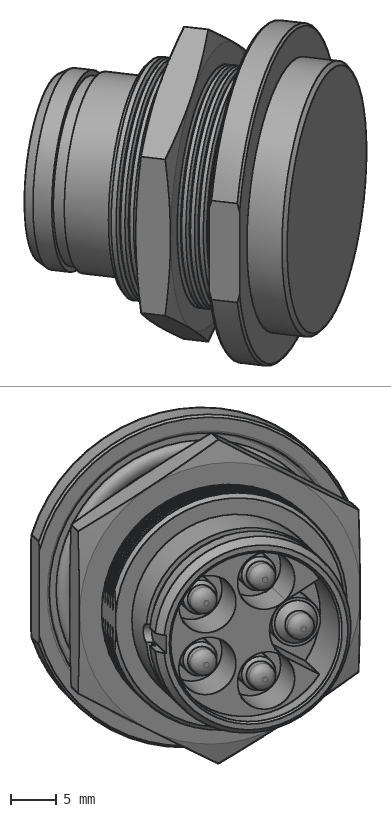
import cadquery as cq
import math


NOSE_GROOVE_START = 3.37
NOSE_GROOVE_END = 4.8
THREAD_START = 10.45
NUT_START = 14.5
NUT_END = 18.48
FLANGE_START = 23.55
FLANGE_END = 27.05
TOTAL_LENGTH = 31.5

NOSE_RADIUS = 11.17
NOSE_CHAMFER_LENGTH = 1.2
NOSE_CHAMFER_DEPTH = 0.7
NOSE_GROOVE_RADIUS = 10.55
KEY_SLOT_WIDTH = 2.05
KEY_SLOT_FLOOR = 10.22
SOCKET_RADIUS = 9.62
SOCKET_DEPTH = 2.4
SOCKET_CHAMFER = 0.23

THREAD_RADIUS = 13.5
THREAD_DEPTH = 0.45
THREAD_CHAMFER = 0.45
THREAD_FLAT = 13.0
THREAD_FIRST_GROOVE = 11.75
THREAD_LAST_GROOVE = 21.75
THREAD_PITCH_COUNT = 10
THREAD_PITCH = (THREAD_LAST_GROOVE - THREAD_FIRST_GROOVE) / THREAD_PITCH_COUNT
THREAD_HALF_ANGLE = 30

FLANGE_RADIUS = 18.95
FLANGE_WIDTH = 36.0
FLANGE_CHAMFER = 0.25
REAR_RADIUS = 15.25
REAR_CHAMFER = 0.45
SEAL_GROOVE_RADIUS = 16.8
SEAL_GROOVE_ROUNDING = 0.35
SEAL_GROOVE_INNER_RADIUS = 13.9
SEAL_GROOVE_FLOOR = 24.9
SEAL_RADIUS = 14.95
SEAL_SECTION_RADIUS = 1.0
SEAL_FRONT = 23.02

CONTACT_COUNT = 5
CONTACT_CIRCLE_RADIUS = 6.0
CONTACT_HOLE_RADIUS = 3.25
CONTACT_HOLE_DEPTH = 5.68
CONTACT_FLOOR = SOCKET_DEPTH + CONTACT_HOLE_DEPTH
CONTACT_RADIUS = 1.95
CONTACT_TIP_RECESS = 0.5
EARTH_SHOULDER_RADIUS = 2.75
EARTH_CONE_RADIUS = 2.42
EARTH_HOLE_RADIUS = 3.75
EARTH_TIP_RECESS = -0.45
EARTH_OPENING_ANGLE = 30
TIP_RADIUS = 1.5
TIP_ROUNDING = 1.2
TIP_LENGTH = 2.1

NUT_WIDTH = 32.0
NUT_CORNER_CHAMFER_LENGTH = 0.6


def disc(radius, start, end):
    """Cylinder on the connector axis between two stations."""
    return cq.Workplane("YZ", origin=(start, 0, 0)).circle(radius).extrude(end - start)


def turned(outline):
    """Solid turned about the X axis from an outline of (station, radius) points."""
    return cq.Workplane("XY").polyline(outline).close().revolve(360, (0, 0, 0), (1, 0, 0))


def shell():
    """Turned outside of the connector, from the nose to the rear collar."""
    return turned([
        (0, 0),
        (0, NOSE_RADIUS - NOSE_CHAMFER_DEPTH),
        (NOSE_CHAMFER_LENGTH, NOSE_RADIUS),
        (NOSE_GROOVE_START, NOSE_RADIUS),
        (NOSE_GROOVE_START, NOSE_GROOVE_RADIUS),
        (NOSE_GROOVE_END, NOSE_GROOVE_RADIUS),
        (NOSE_GROOVE_END, NOSE_RADIUS),
        (FLANGE_START, NOSE_RADIUS),
        (FLANGE_START, FLANGE_RADIUS - FLANGE_CHAMFER),
        (FLANGE_START + FLANGE_CHAMFER, FLANGE_RADIUS),
        (FLANGE_END - FLANGE_CHAMFER, FLANGE_RADIUS),
        (FLANGE_END, FLANGE_RADIUS - FLANGE_CHAMFER),
        (FLANGE_END, REAR_RADIUS),
        (TOTAL_LENGTH - REAR_CHAMFER, REAR_RADIUS),
        (TOTAL_LENGTH, REAR_RADIUS - REAR_CHAMFER),
        (TOTAL_LENGTH, 0),
    ])


def flange_flats():
    """Everything outside the two parallel flats of the flange."""
    flange = disc(FLANGE_RADIUS, FLANGE_START, FLANGE_END)
    middle = cq.Workplane("XY").box(2 * TOTAL_LENGTH, FLANGE_WIDTH, 2 * FLANGE_RADIUS)
    return flange.cut(middle)


def threaded_sleeve():
    """Sleeve around the shell with a chamfered start, V grooves and a flat on its +Y side."""
    half_width = THREAD_DEPTH * math.tan(math.radians(THREAD_HALF_ANGLE))
    root_radius = THREAD_RADIUS - THREAD_DEPTH
    outline = [
        (THREAD_START, 0),
        (THREAD_START, THREAD_RADIUS - THREAD_CHAMFER),
        (THREAD_START + THREAD_CHAMFER, THREAD_RADIUS),
    ]
    for index in range(THREAD_PITCH_COUNT + 1):
        station = THREAD_FIRST_GROOVE + index * THREAD_PITCH
        outline += [
            (station - half_width, THREAD_RADIUS),
            (station, root_radius),
            (station + half_width, THREAD_RADIUS),
        ]
    outline += [(FLANGE_START, THREAD_RADIUS), (FLANGE_START, 0)]
    beyond_flat = (
        cq.Workplane("XZ", origin=(0, THREAD_FLAT, 0))
        .rect(2 * TOTAL_LENGTH, 2 * THREAD_RADIUS)
        .extrude(-THREAD_RADIUS)
    )
    return turned(outline).cut(beyond_flat)


def seal_groove():
    """Annular recess in the flange face; its outer wall has a rounded brim and a rounded corner."""
    brim_end = FLANGE_START + SEAL_GROOVE_ROUNDING
    floor_round_start = SEAL_GROOVE_FLOOR - SEAL_GROOVE_ROUNDING
    diagonal = SEAL_GROOVE_ROUNDING * math.sqrt(0.5)
    wall = SEAL_GROOVE_RADIUS
    brim_middle = (brim_end - diagonal, wall + SEAL_GROOVE_ROUNDING - diagonal)
    corner_middle = (floor_round_start + diagonal, wall - SEAL_GROOVE_ROUNDING + diagonal)
    return (
        cq.Workplane("XY")
        .moveTo(FLANGE_START, SEAL_GROOVE_INNER_RADIUS)
        .lineTo(FLANGE_START, wall + SEAL_GROOVE_ROUNDING)
        .threePointArc(brim_middle, (brim_end, wall))
        .lineTo(floor_round_start, wall)
        .threePointArc(corner_middle, (SEAL_GROOVE_FLOOR, wall - SEAL_GROOVE_ROUNDING))
        .lineTo(SEAL_GROOVE_FLOOR, SEAL_GROOVE_INNER_RADIUS)
        .close()
        .revolve(360, (0, 0, 0), (1, 0, 0))
    )


def seal():
    """Round-section ring sunk slightly into the floor of its recess."""
    return (
        cq.Workplane("XY")
        .center(SEAL_FRONT + SEAL_SECTION_RADIUS, SEAL_RADIUS)
        .circle(SEAL_SECTION_RADIUS)
        .revolve(360, (0, -SEAL_RADIUS, 0), (1, -SEAL_RADIUS, 0))
    )


def key_slot():
    """Axial slot in the +Y side of the nose, with a round end behind the retaining groove."""
    round_end = NOSE_GROOVE_END
    height = NOSE_RADIUS - KEY_SLOT_FLOOR
    base = cq.Workplane("XZ", origin=(0, KEY_SLOT_FLOOR, 0))
    straight = base.center(round_end / 2, 0).rect(round_end, KEY_SLOT_WIDTH).extrude(-height)
    end = base.center(round_end, 0).circle(KEY_SLOT_WIDTH / 2).extrude(-height)
    return straight.union(end)


def socket():
    """Front recess with a chamfered rim."""
    return turned([
        (0, 0),
        (0, SOCKET_RADIUS + SOCKET_CHAMFER),
        (SOCKET_CHAMFER, SOCKET_RADIUS),
        (SOCKET_DEPTH, SOCKET_RADIUS),
        (SOCKET_DEPTH, 0),
    ])


def placed(shape, index):
    """Shape drawn on the axis, moved to the contact circle; index 0 is the earth place at -Y."""
    return shape.translate((0, -CONTACT_CIRCLE_RADIUS, 0)).rotate(
        (0, 0, 0), (1, 0, 0), 360 / CONTACT_COUNT * index
    )


def contact_hole():
    """Round recess around an ordinary contact."""
    return disc(CONTACT_HOLE_RADIUS, SOCKET_DEPTH, CONTACT_FLOOR)


def earth_hole():
    """Round recess that opens outward to the socket wall between two tangent walls."""
    slope = math.radians(EARTH_OPENING_ANGLE)
    tangent_y = EARTH_HOLE_RADIUS * math.sin(slope)
    tangent_z = EARTH_HOLE_RADIUS * math.cos(slope)
    outer_y = -SOCKET_RADIUS
    outer_z = tangent_z + (tangent_y - outer_y) * math.tan(slope)
    opening = (
        cq.Workplane("YZ", origin=(SOCKET_DEPTH, 0, 0))
        .polyline([
            (tangent_y, tangent_z),
            (outer_y, outer_z),
            (outer_y, -outer_z),
            (tangent_y, -tangent_z),
        ])
        .close()
        .extrude(CONTACT_HOLE_DEPTH)
    )
    hole = disc(EARTH_HOLE_RADIUS, SOCKET_DEPTH, CONTACT_FLOOR).union(opening)
    return placed(hole, 0).intersect(disc(SOCKET_RADIUS, SOCKET_DEPTH, CONTACT_FLOOR))


def contact(base_radius, cone_radius, tip_recess):
    """Pin with a rounded tip that widens through a 45 degree cone to its base."""
    tip = SOCKET_DEPTH + tip_recess
    cone_start = tip + TIP_LENGTH
    cone_end = cone_start + cone_radius - TIP_RADIUS
    cone = turned([
        (cone_start, 0),
        (cone_start, TIP_RADIUS),
        (cone_end, cone_radius),
        (cone_end, 0),
    ])
    base = disc(base_radius, cone_end, CONTACT_FLOOR)
    dome = disc(TIP_RADIUS, tip, cone_start).faces("<X").edges().fillet(TIP_ROUNDING)
    return base.union(cone).union(dome)


def connector():
    """Housing with its threaded sleeve, seal and contacts, as one solid."""
    body = shell().union(threaded_sleeve()).cut(flange_flats())
    body = body.cut(seal_groove()).union(seal())
    body = body.cut(key_slot()).cut(socket()).cut(earth_hole())
    for index in range(1, CONTACT_COUNT):
        body = body.cut(placed(contact_hole(), index))
    earth_contact = contact(EARTH_SHOULDER_RADIUS, EARTH_CONE_RADIUS, EARTH_TIP_RECESS)
    body = body.union(placed(earth_contact, 0))
    for index in range(1, CONTACT_COUNT):
        body = body.union(placed(contact(CONTACT_RADIUS, CONTACT_RADIUS, CONTACT_TIP_RECESS), index))
    return body


def nut():
    """Hexagon with two corners on the Z axis, conical corners and a bore that fits the thread crests."""
    corner_radius = NUT_WIDTH / math.sqrt(3)
    flat_radius = NUT_WIDTH / 2
    hexagon = (
        cq.Workplane("YZ", origin=(NUT_START, 0, 0))
        .polygon(6, 2 * corner_radius)
        .extrude(NUT_END - NUT_START)
        .rotate((0, 0, 0), (1, 0, 0), 30)
    )
    corner_cones = turned([
        (NUT_START, 0),
        (NUT_START, flat_radius),
        (NUT_START + NUT_CORNER_CHAMFER_LENGTH, corner_radius),
        (NUT_END - NUT_CORNER_CHAMFER_LENGTH, corner_radius),
        (NUT_END, flat_radius),
        (NUT_END, 0),
    ])
    bore = disc(THREAD_RADIUS, NUT_START, NUT_END)
    return hexagon.intersect(corner_cones).cut(bore)


connector_body = connector()
nut_body = nut()

result = cq.Compound.makeCompound([connector_body.val(), nut_body.val()])